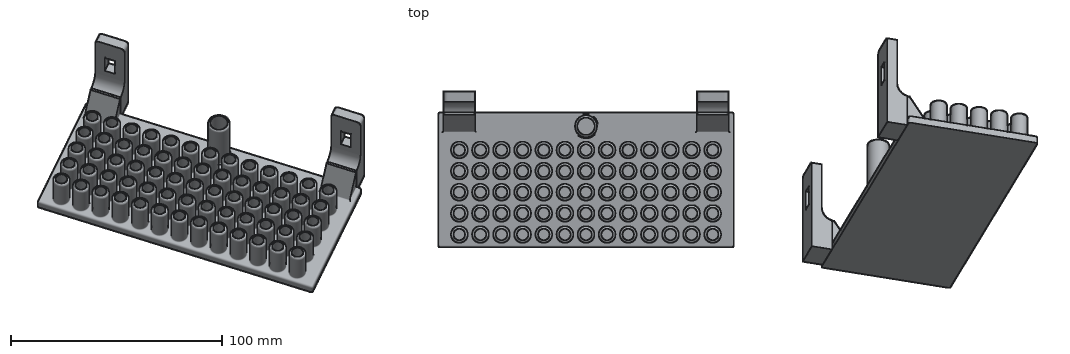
import cadquery as cq
PLATE_LENGTH = 140.0
PLATE_DEPTH = 64.0
PLATE_THICKNESS = 4.0
PLATE_ROUND = 1.0

COLUMNS = 13
PITCH = PLATE_LENGTH / (COLUMNS + 1)
ROWS = 5
FRONT_ROW_MARGIN = 6.2
TUBE_DIAMETER = 8.0
TUBE_BORE = 5.5
TUBE_TOP = 19.2
TUBE_RIM_ROUND = 1.1

LARGE_TUBE_DIAMETER = 10.5
LARGE_TUBE_BORE = 8.3
LARGE_TUBE_TOP = TUBE_TOP + PITCH
LARGE_TUBE_RIM_ROUND = 1.0
LARGE_TUBE_SETBACK = 6.6

FOOT_ROUND = 0.5

SELECT_MARGIN = 0.01

BRACKET_WIDTH = 15.0
BRACKET_DEPTH = 10.0
BRACKET_HEIGHT = 47.0
BRACKET_CORNER_ROUND = 2.0
BRACKET_X = PLATE_LENGTH / 2 - PITCH
UPRIGHT_THICKNESS = BRACKET_DEPTH / 2
SHOULDER_HEIGHT = 16.0
SHOULDER_RADIUS = 6.0
GUSSET_REACH = 9.1
SLOT_WIDTH = 5.0
SLOT_HEIGHT = 10.0
SLOT_BOTTOM = 25.9


def box(x_size, y_min, y_max, z_min, z_max):
    """Box centred on X between the given Y and Z limits."""
    return cq.Workplane("XY").box(x_size, y_max - y_min, z_max - z_min, centered=(True, False, False)).translate(
        (0, y_min, z_min)
    )


def side_profile():
    """Bracket and gusset as one silhouette: upright, concave shoulder, sloping front."""
    upright_front = BRACKET_DEPTH - UPRIGHT_THICKNESS
    shoulder_end = upright_front - SHOULDER_RADIUS
    bend = SHOULDER_RADIUS * (1 - 0.5**0.5)
    return (
        cq.Workplane("YZ")
        .moveTo(BRACKET_DEPTH, 0)
        .lineTo(BRACKET_DEPTH, BRACKET_HEIGHT)
        .lineTo(upright_front, BRACKET_HEIGHT)
        .lineTo(upright_front, SHOULDER_HEIGHT + SHOULDER_RADIUS)
        .threePointArc((upright_front - bend, SHOULDER_HEIGHT + bend), (shoulder_end, SHOULDER_HEIGHT))
        .lineTo(-GUSSET_REACH, PLATE_THICKNESS)
        .lineTo(-GUSSET_REACH, 0)
        .close()
        .extrude(BRACKET_WIDTH / 2, both=True)
    )


def make_bracket(x):
    """The part of the silhouette behind the plate, with rounded top corners and a slot."""
    bracket = side_profile().intersect(box(BRACKET_WIDTH, 0, BRACKET_DEPTH, 0, BRACKET_HEIGHT))
    bracket = bracket.faces(">Z").edges("|Y").fillet(BRACKET_CORNER_ROUND)
    slot = box(SLOT_WIDTH, 0, BRACKET_DEPTH, SLOT_BOTTOM, SLOT_BOTTOM + SLOT_HEIGHT)
    return bracket.cut(slot).translate((x, 0, 0))


def make_gusset(x):
    """The part of the silhouette standing on the plate."""
    return side_profile().intersect(box(BRACKET_WIDTH, -GUSSET_REACH, 0, 0, BRACKET_HEIGHT)).translate((x, 0, 0))


def make_tube(x, y, diameter, bore, top, rim_round):
    """Tube standing on the plate, with a rounded rim and a flared foot."""
    foot = PLATE_THICKNESS
    outer = diameter / 2
    bend = FOOT_ROUND * (1 - 0.5**0.5)
    rim_bend = rim_round * (1 - 0.5**0.5)
    return (
        cq.Workplane("XZ")
        .moveTo(bore / 2, 0)
        .lineTo(outer + FOOT_ROUND, 0)
        .lineTo(outer + FOOT_ROUND, foot)
        .threePointArc((outer + bend, foot + bend), (outer, foot + FOOT_ROUND))
        .lineTo(outer, top - rim_round)
        .threePointArc((outer - rim_bend, top - rim_bend), (outer - rim_round, top))
        .lineTo(bore / 2, top)
        .close()
        .revolve(360, (0, 0, 0), (0, 1, 0))
        .translate((x, y, 0))
    )


def slab_selector(x_reach, y_min, y_max):
    """Selects edges centred within the given limits on the plate's top plane."""
    return cq.selectors.BoxSelector(
        (-x_reach, y_min, PLATE_THICKNESS - SELECT_MARGIN), (x_reach, y_max, PLATE_THICKNESS + SELECT_MARGIN)
    )


def make_plate():
    """Plate with both gussets, blended at their feet, and rounded upper edges."""
    plate = box(PLATE_LENGTH, -PLATE_DEPTH, 0, 0, PLATE_THICKNESS).edges("|Z").fillet(PLATE_ROUND)
    for x in (-BRACKET_X, BRACKET_X):
        plate = plate.union(make_gusset(x))
    inner_x = PLATE_LENGTH / 2 - PLATE_ROUND
    inner_edges = slab_selector(inner_x, PLATE_ROUND - PLATE_DEPTH, -PLATE_ROUND)
    all_edges = slab_selector(PLATE_LENGTH, -PLATE_DEPTH - SELECT_MARGIN, SELECT_MARGIN)
    plate = plate.edges(inner_edges).fillet(FOOT_ROUND)
    return plate.edges(all_edges - inner_edges).fillet(PLATE_ROUND)


def make_rack():
    """Plate and all its tubes as one body."""
    tubes = []
    for column in range(COLUMNS):
        for row in range(ROWS):
            x = (column - (COLUMNS - 1) / 2) * PITCH
            y = -PLATE_DEPTH + FRONT_ROW_MARGIN + row * PITCH
            tubes.append(make_tube(x, y, TUBE_DIAMETER, TUBE_BORE, TUBE_TOP, TUBE_RIM_ROUND).val())
    tubes.append(
        make_tube(
            0, -LARGE_TUBE_SETBACK, LARGE_TUBE_DIAMETER, LARGE_TUBE_BORE, LARGE_TUBE_TOP, LARGE_TUBE_RIM_ROUND
        ).val()
    )
    return make_plate().val().fuse(*tubes)


rack = make_rack()
brackets = [make_bracket(x).val() for x in (-BRACKET_X, BRACKET_X)]
result = cq.Compound.makeCompound([rack, *brackets])